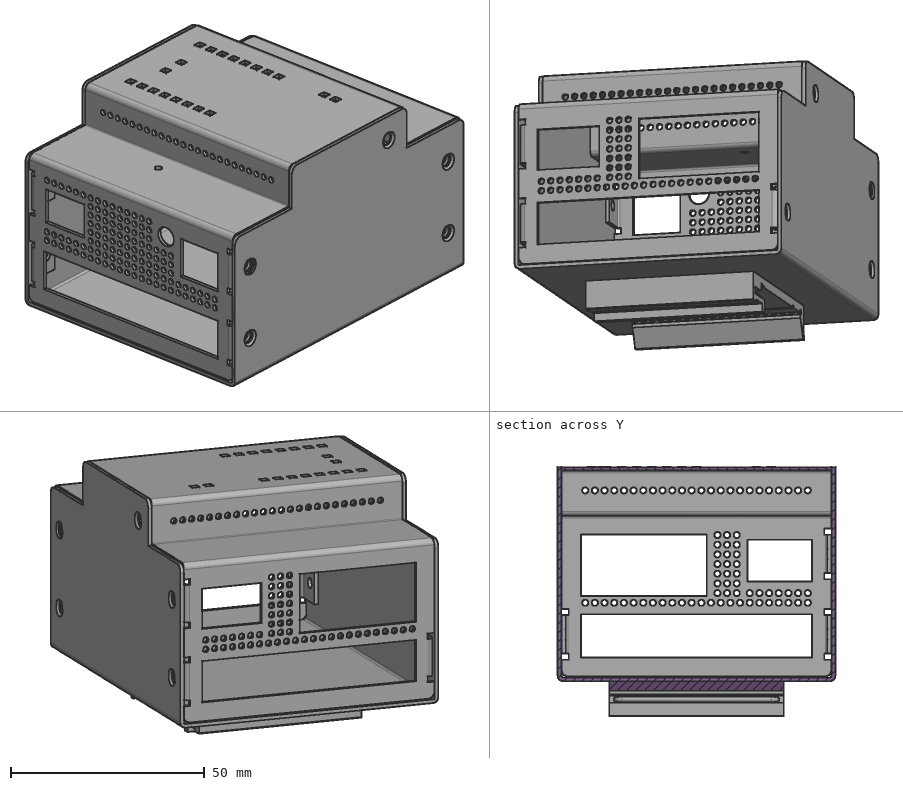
import cadquery as cq
import math

SHEET = 1.0
BEND_INNER = 0.5
BEND_OUTER = BEND_INNER + SHEET

WIDTH = 71.8
LENGTH = 90.0
TOP_Z = 55.4
STEP_HALF = 22.6
WALL_LEDGE_Z = 43.4
WALL_CORNER_R = 2.1
HALF_WIDTH = WIDTH / 2
WALL_INNER_X = HALF_WIDTH - SHEET

SIDE_GAP = 0.1
LID_GAP = 0.3
LID_HALF_WIDTH = WALL_INNER_X - SIDE_GAP
LID_HALF_LENGTH = LENGTH / 2 - LID_GAP
LID_LEDGE_Z = 43.7
LID_BOTTOM_Z = SHEET + LID_GAP
LEDGE_FILLET = 0.225

FLANGE_LOW_Z = 12.15
FLANGE_HIGH_Z = 32.9
FLANGE_HEIGHT = 10.0
FLANGE_LENGTH = 9.0
RELIEF_HEIGHT = 1.5
RELIEF_DEPTH = 1.8
SCREW_Y = 39.0
FLANGE_HOLE_D = 2.7
SCREW_HOLE_D = 3.2
SCREW_HEAD_D = 4.5
SCREW_HEAD_DEPTH = (SCREW_HEAD_D - SCREW_HOLE_D) / 2
TOP_HOLE_Z = 48.4
TOP_HOLE_LEFT_Y = 13.1
TOP_HOLE_RIGHT_Y = 15.6

FLANGES = [
    (-1, -1, FLANGE_LOW_Z),
    (-1, -1, FLANGE_HIGH_Z),
    (1, -1, FLANGE_LOW_Z),
    (1, -1, FLANGE_HIGH_Z),
    (-1, 1, FLANGE_LOW_Z),
    (1, 1, FLANGE_LOW_Z),
    (1, 1, FLANGE_HIGH_Z),
]

VENT_D = 1.5
VENT_COLUMNS = 24
VENT_SPAN = 57.5
VENT_PITCH = VENT_SPAN / (VENT_COLUMNS - 1)
FRONT_VENT_TOP_Z = 38.25
REAR_VENT_TOP_Z = 37.8
RISER_VENT_Z = 49.3
REAR_BLOCK_X = 5.4
REAR_BLOCK_COLUMNS = 3
LAST_ROW = 7
WINDOW_LAST_ROW = 5
LEFT_WINDOW_LAST_COLUMN = 5
CONNECTOR_LAST_ROW = 2
CONNECTOR_FIRST_COLUMN = 15
RIGHT_WINDOW_FIRST_COLUMN = 18
SHORT_ROW_FIRST_COLUMN = 17

OPENING_EDGE_X = 29.8
WINDOW_BOTTOM_Z = 25.8
SLOT_BOTTOM_Z = 6.2
SLOT_TOP_Z = 17.3
LEFT_WINDOW = (-29.2, -16.0, WINDOW_BOTTOM_Z, 35.55)
RIGHT_WINDOW = (17.1, OPENING_EDGE_X, WINDOW_BOTTOM_Z, 36.9)
SLOT = (-OPENING_EDGE_X, OPENING_EDGE_X, SLOT_BOTTOM_Z, SLOT_TOP_Z)
REAR_LEFT_WINDOW = (-OPENING_EDGE_X, 2.6, 22.05, 37.9)
REAR_RIGHT_WINDOW = (13.2, OPENING_EDGE_X, WINDOW_BOTTOM_Z, 36.5)
CONNECTOR_D = 5.4
CONNECTOR_X = 12.1
CONNECTOR_Z = 35.7

LIGHT_SIZE = 2.1
LIGHT_PITCH = 3.9
LIGHT_ROW_COUNT = 8
LIGHT_ROW_Y = 13.6
PAIR_X = 15.5
SINGLE_LIGHT_X = -24.3
SINGLE_LIGHT_Y = 3.1
BUTTON_D = 2.0
BUTTON_X = -4.7
BUTTON_Y = -28.5

CLIP_WIDTH = 45.2
CLIP_PLATE_Z = -2.4
CLIP_TIP_Z = -9.0
HOOK_BACK_Y = 25.0
HOOK_PAD_Y = 21.9
HOOK_PAD_Z = -7.6
HOOK_CHAMFER = 0.3
HOOK_ARM_Z = -6.9
HOOK_TOE_BACK_Y = 16.7
HOOK_TOE_FRONT_Y = 14.7
HOOK_MOUTH_Y = 17.4
HOOK_MOUTH_CHAMFER_Y = 0.7
HOOK_MOUTH_CHAMFER_Z = 0.45
WIRE_SLOT_END_Y = 23.3
WIRE_SLOT_TOP_Z = -3.8
WIRE_SLOT_BOTTOM_Z = -5.5
RELIEF_TOP_Z = -1.7
RELIEF_STEP_Z = -2.1
RELIEF_STEP_Y = 15.0
RELIEF_SLOPE_Y = 16.8
GROOVE_Y = -12.0
GROOVE_DEPTH = 0.6
LEG_OUTER_Y = -21.5
LEG_RELIEF_START_Y = -18.0
LEG_RELIEF_MIDDLE_Y = -18.6
LEG_RELIEF_END_Y = -19.3
LEG_RELIEF_END_Z = -2.6
LEG_INNER_Y = -18.45
LEG_INNER_TOP_Z = -3.0
LEG_TAPER_TOP_Z = -3.9
LEG_TIP_Y = -20.9
LIP_Y = -22.2
LIP_TOP_Z = -7.9
WIRE_D = 1.35
WIRE_Z = -4.7
WIRE_BEND_R = 1.4
WIRE_LEG_X = 20.7
WIRE_REAR_Y = 23.2
WIRE_FRONT_Y = 13.7

EDGE_REACH = 0.01


def stepped_outline(half_length, step_half, bottom, ledge, top):
    """Closed YZ outline of an enclosure with a raised middle."""
    return cq.Workplane("YZ").polyline([
        (-half_length, bottom),
        (half_length, bottom),
        (half_length, ledge),
        (step_half, ledge),
        (step_half, top),
        (-step_half, top),
        (-step_half, ledge),
        (-half_length, ledge),
    ]).close()


def round_edges(body, y, z, radius):
    """Round the two X-parallel edges that lie at (-y, z) and (y, z)."""
    for edge_y in (-y, y):
        near = cq.selectors.BoxSelector(
            (-WIDTH, edge_y - EDGE_REACH, z - EDGE_REACH),
            (WIDTH, edge_y + EDGE_REACH, z + EDGE_REACH),
        )
        body = body.edges("|X").edges(near).fillet(radius)
    return body


def window(x0, x1, z0, z1, end):
    """Cutter for a rectangular opening through one end wall (end is -1 at the front, 1 at the rear)."""
    return cq.Workplane("XY").box(x1 - x0, 4 * SHEET, z1 - z0).translate(
        ((x0 + x1) / 2, end * LID_HALF_LENGTH, (z0 + z1) / 2)
    )


def round_cutters(points, y, diameter):
    """Cutters for round holes along Y at the given (x, z) points of the wall at y."""
    return (
        cq.Workplane("XZ", origin=(0, y + 2 * SHEET, 0))
        .pushPoints(points)
        .circle(diameter / 2)
        .extrude(4 * SHEET)
    )


def vent_x(column):
    """X of a vent column, counted from the left."""
    return -VENT_SPAN / 2 + column * VENT_PITCH


def front_vents():
    """Grid points of the front vents, left out where the windows and the connector are."""
    points = []
    for row in range(LAST_ROW + 1):
        for column in range(VENT_COLUMNS):
            over_left_window = 1 <= row <= WINDOW_LAST_ROW and column <= LEFT_WINDOW_LAST_COLUMN
            beside_connector = row <= CONNECTOR_LAST_ROW and column >= CONNECTOR_FIRST_COLUMN
            over_right_window = row <= WINDOW_LAST_ROW and column >= RIGHT_WINDOW_FIRST_COLUMN
            if not (over_left_window or beside_connector or over_right_window):
                points.append((vent_x(column), FRONT_VENT_TOP_Z - row * VENT_PITCH))
    return points


def rear_vents():
    """Vents between the rear windows, a short row below the right one and a full bottom row."""
    points = []
    for row in range(LAST_ROW):
        z = REAR_VENT_TOP_Z - row * VENT_PITCH
        points += [(REAR_BLOCK_X + column * VENT_PITCH, z) for column in range(REAR_BLOCK_COLUMNS)]
    short_row_z = REAR_VENT_TOP_Z - (LAST_ROW - 1) * VENT_PITCH
    points += [(vent_x(column), short_row_z) for column in range(SHORT_ROW_FIRST_COLUMN, VENT_COLUMNS)]
    bottom_row_z = REAR_VENT_TOP_Z - LAST_ROW * VENT_PITCH
    points += [(vent_x(column), bottom_row_z) for column in range(VENT_COLUMNS)]
    return points


def screw_cutter(side, y, z, flat):
    """Screw hole with head recess, sunk from the outside of a side wall."""
    origin = cq.Vector(side * HALF_WIDTH, y, z)
    inward = cq.Vector(-side, 0, 0)
    hole = cq.Solid.makeCylinder(SCREW_HOLE_D / 2, 1.5 * SHEET, origin, inward)
    if flat:
        head = cq.Solid.makeCylinder(SCREW_HEAD_D / 2, SCREW_HEAD_DEPTH, origin, inward)
    else:
        head = cq.Solid.makeCone(SCREW_HEAD_D / 2, SCREW_HOLE_D / 2, SCREW_HEAD_DEPTH, origin, inward)
    return cq.Workplane(hole.fuse(head))


def make_base():
    """U-shaped sheet with screw holes in its stepped side walls."""
    channel = (
        cq.Workplane("XY")
        .box(WIDTH, LENGTH, TOP_Z, centered=(True, True, False))
        .edges("|Y and <Z")
        .fillet(BEND_OUTER)
    )
    hollow = (
        cq.Workplane("XY", origin=(0, 0, SHEET))
        .box(2 * WALL_INNER_X, LENGTH, TOP_Z, centered=(True, True, False))
        .edges("|Y and <Z")
        .fillet(BEND_INNER)
    )
    outline = stepped_outline(LENGTH / 2, STEP_HALF, 0, WALL_LEDGE_Z, TOP_Z)
    outline = outline.extrude(HALF_WIDTH, both=True)
    outline = round_edges(outline, STEP_HALF, TOP_Z, WALL_CORNER_R)
    outline = round_edges(outline, LENGTH / 2, WALL_LEDGE_Z, WALL_CORNER_R)
    base = channel.cut(hollow).intersect(outline)

    for side, end, z in FLANGES:
        flat = end < 0 and z == FLANGE_HIGH_Z
        base = base.cut(screw_cutter(side, end * SCREW_Y, z, flat))
    base = base.cut(screw_cutter(-1, TOP_HOLE_LEFT_Y, TOP_HOLE_Z, False))
    return base.cut(screw_cutter(1, TOP_HOLE_RIGHT_Y, TOP_HOLE_Z, False))


def make_lid_sheet():
    """Stepped cover bent along X, open at the bottom and the sides."""
    outer = stepped_outline(LID_HALF_LENGTH, STEP_HALF, LID_BOTTOM_Z, LID_LEDGE_Z, TOP_Z)
    outer = outer.extrude(LID_HALF_WIDTH, both=True)
    outer = round_edges(outer, STEP_HALF, TOP_Z, BEND_OUTER)
    outer = round_edges(outer, LID_HALF_LENGTH, LID_LEDGE_Z, BEND_OUTER)
    outer = round_edges(outer, STEP_HALF, LID_LEDGE_Z, LEDGE_FILLET)

    inner_length = LID_HALF_LENGTH - SHEET
    inner_step = STEP_HALF - SHEET
    inner_ledge = LID_LEDGE_Z - SHEET
    inner_top = TOP_Z - SHEET
    inner = stepped_outline(inner_length, inner_step, 0, inner_ledge, inner_top)
    inner = inner.extrude(HALF_WIDTH, both=True)
    inner = round_edges(inner, inner_step, inner_top, BEND_INNER)
    inner = round_edges(inner, inner_length, inner_ledge, BEND_INNER)
    inner = round_edges(inner, inner_step, inner_ledge, LEDGE_FILLET + SHEET)

    lid = outer.cut(inner)
    corners = cq.selectors.BoxSelector(
        (-WIDTH, -LENGTH, LID_BOTTOM_Z - SHEET), (WIDTH, LENGTH, LID_BOTTOM_Z + SHEET)
    )
    return lid.edges("|Y").edges(corners).fillet(BEND_OUTER)


def relief_cutter(side, end, z):
    """Clears the end wall for a flange and the relief slits above and below it."""
    height = FLANGE_HEIGHT + 2 * RELIEF_HEIGHT
    return cq.Workplane("XY").box(2 * RELIEF_DEPTH, 4 * SHEET, height).translate(
        (side * LID_HALF_WIDTH, end * LID_HALF_LENGTH, z)
    )


def flange(side, end, z):
    """Tab bent back from an end wall along the side wall, with its screw hole."""
    x_root = side * (LID_HALF_WIDTH - RELIEF_DEPTH)
    x_out = side * LID_HALF_WIDTH
    x_in = side * (LID_HALF_WIDTH - SHEET)
    y_out = end * LID_HALF_LENGTH
    y_in = end * (LID_HALF_LENGTH - SHEET)
    y_tip = end * (LID_HALF_LENGTH - FLANGE_LENGTH)
    tab = (
        cq.Workplane("XY", origin=(0, 0, z))
        .polyline([
            (x_root, y_out),
            (x_out, y_out),
            (x_out, y_tip),
            (x_in, y_tip),
            (x_in, y_in),
            (x_root, y_in),
        ])
        .close()
        .extrude(FLANGE_HEIGHT / 2, both=True)
    )
    tab = tab.edges(cq.selectors.NearestToPointSelector((x_out, y_out, z))).fillet(BEND_OUTER)
    tab = tab.edges(cq.selectors.NearestToPointSelector((x_in, y_in, z))).fillet(BEND_INNER)
    hole = (
        cq.Workplane("YZ", origin=(x_out, end * SCREW_Y, z))
        .circle(FLANGE_HOLE_D / 2)
        .extrude(2 * SHEET, both=True)
    )
    return tab.cut(hole)


def light_points():
    """Centres of the square light openings in the top."""
    points = []
    for index in range(LIGHT_ROW_COUNT):
        x = -index * LIGHT_PITCH
        points += [(x, LIGHT_ROW_Y), (x, -LIGHT_ROW_Y)]
    points += [(PAIR_X, LIGHT_ROW_Y), (PAIR_X + LIGHT_PITCH, LIGHT_ROW_Y)]
    points += [(SINGLE_LIGHT_X, SINGLE_LIGHT_Y), (SINGLE_LIGHT_X, -SINGLE_LIGHT_Y)]
    return points


def make_lid():
    """Lid sheet with its flanges and all openings."""
    lid = make_lid_sheet()
    for place in FLANGES:
        lid = lid.cut(relief_cutter(*place)).union(flange(*place))

    for opening in (LEFT_WINDOW, RIGHT_WINDOW, SLOT):
        lid = lid.cut(window(*opening, -1))
    lid = lid.cut(round_cutters(front_vents(), -LID_HALF_LENGTH, VENT_D))
    lid = lid.cut(round_cutters([(CONNECTOR_X, CONNECTOR_Z)], -LID_HALF_LENGTH, CONNECTOR_D))

    for opening in (REAR_LEFT_WINDOW, REAR_RIGHT_WINDOW, SLOT):
        lid = lid.cut(window(*opening, 1))
    lid = lid.cut(round_cutters(rear_vents(), LID_HALF_LENGTH, VENT_D))

    riser_vents = [(vent_x(column), RISER_VENT_Z) for column in range(VENT_COLUMNS)]
    for y in (-STEP_HALF, STEP_HALF):
        lid = lid.cut(round_cutters(riser_vents, y, VENT_D))

    lights = (
        cq.Workplane("XY", origin=(0, 0, TOP_Z - 2 * SHEET))
        .pushPoints(light_points())
        .rect(LIGHT_SIZE, LIGHT_SIZE)
        .extrude(4 * SHEET)
    )
    button = (
        cq.Workplane("XY", origin=(BUTTON_X, BUTTON_Y, LID_LEDGE_Z - 2 * SHEET))
        .circle(BUTTON_D / 2)
        .extrude(4 * SHEET)
    )
    return lid.cut(lights).cut(button)


def make_clip():
    """Rail clip: one profile extruded along X, hooked at both ends, with a slot for the spring."""
    hook = [
        (HOOK_BACK_Y, 0),
        (HOOK_BACK_Y, HOOK_PAD_Z + HOOK_CHAMFER),
        (HOOK_BACK_Y - HOOK_CHAMFER, HOOK_PAD_Z),
        (HOOK_PAD_Y, HOOK_PAD_Z),
        (HOOK_PAD_Y, HOOK_ARM_Z),
        (HOOK_TOE_BACK_Y, HOOK_ARM_Z),
        (HOOK_TOE_BACK_Y, CLIP_TIP_Z),
        (HOOK_TOE_FRONT_Y, CLIP_TIP_Z),
    ]
    wire_slot = [
        (HOOK_TOE_FRONT_Y, WIRE_SLOT_BOTTOM_Z),
        (WIRE_SLOT_END_Y, WIRE_SLOT_BOTTOM_Z),
        (WIRE_SLOT_END_Y, WIRE_SLOT_TOP_Z),
        (HOOK_MOUTH_Y + HOOK_MOUTH_CHAMFER_Y, WIRE_SLOT_TOP_Z),
        (HOOK_MOUTH_Y, WIRE_SLOT_TOP_Z + HOOK_MOUTH_CHAMFER_Z),
    ]
    plate_underside = [
        (HOOK_MOUTH_Y, RELIEF_TOP_Z),
        (RELIEF_SLOPE_Y, RELIEF_STEP_Z),
        (RELIEF_STEP_Y, RELIEF_STEP_Z),
        (RELIEF_STEP_Y, CLIP_PLATE_Z),
        (GROOVE_Y + GROOVE_DEPTH, CLIP_PLATE_Z),
        (GROOVE_Y, CLIP_PLATE_Z + GROOVE_DEPTH),
        (GROOVE_Y - GROOVE_DEPTH, CLIP_PLATE_Z),
    ]
    spring_leg = [
        (LEG_RELIEF_START_Y, CLIP_PLATE_Z),
        (LEG_RELIEF_MIDDLE_Y, RELIEF_TOP_Z),
        (LEG_RELIEF_END_Y, RELIEF_STEP_Z),
        (LEG_RELIEF_END_Y, LEG_RELIEF_END_Z),
        (LEG_INNER_Y, LEG_INNER_TOP_Z),
        (LEG_INNER_Y, LEG_TAPER_TOP_Z),
        (LEG_TIP_Y, CLIP_TIP_Z),
        (LIP_Y, CLIP_TIP_Z),
        (LIP_Y, LIP_TOP_Z),
        (LEG_OUTER_Y, LIP_TOP_Z),
        (LEG_OUTER_Y, 0),
    ]
    profile = hook + wire_slot + plate_underside + spring_leg
    return cq.Workplane("YZ").polyline(profile).close().extrude(CLIP_WIDTH / 2, both=True)


def make_spring():
    """U-shaped round wire lying in the clip's slot, its legs along Y and its cross bar along X."""
    corner = WIRE_BEND_R * (1 - math.sqrt(0.5))
    bar_x = WIRE_LEG_X - WIRE_BEND_R
    leg_y = WIRE_FRONT_Y + WIRE_BEND_R
    path = (
        cq.Workplane("XY", origin=(0, 0, WIRE_Z))
        .moveTo(-WIRE_LEG_X, WIRE_REAR_Y)
        .lineTo(-WIRE_LEG_X, leg_y)
        .threePointArc((corner - WIRE_LEG_X, WIRE_FRONT_Y + corner), (-bar_x, WIRE_FRONT_Y))
        .lineTo(bar_x, WIRE_FRONT_Y)
        .threePointArc((WIRE_LEG_X - corner, WIRE_FRONT_Y + corner), (WIRE_LEG_X, leg_y))
        .lineTo(WIRE_LEG_X, WIRE_REAR_Y)
    )
    section = cq.Workplane("XZ", origin=(-WIRE_LEG_X, WIRE_REAR_Y, WIRE_Z)).circle(WIRE_D / 2)
    return section.sweep(path)


base = make_base()
lid = make_lid()
clip = make_clip()
spring = make_spring()

result = cq.Compound.makeCompound([base.val(), lid.val(), clip.val(), spring.val()])